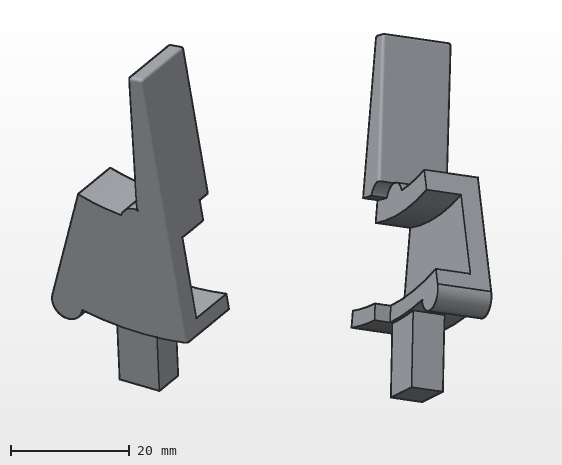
import cadquery as cq
import math

FULL_DEPTH = 13.0
BODY_DEPTH = 10.1
WEB_DEPTH = 3.6
PIN_BACK = 9.5
FOOT_FRONT = WEB_DEPTH

ARC_X, ARC_Z = 15.1, 74.3
TOP_RADIUS = 39.0
CEILING_RADIUS = 42.85
FLOOR_RADIUS = 58.2
BOTTOM_RADIUS = 61.1

ROUND_RADIUS = 3.05
BEAD_X, BEAD_Z = ROUND_RADIUS, 14.25
BOSS_X, BOSS_Z = 16.75, 34.35

BODY_LEFT_X, BODY_LEFT_Z = 5.2, 36.45
TIP_LEFT_X, TIP_LEFT_Z = 15.15, 63.0
TIP_RIGHT_X, TIP_RIGHT_Z = 18.1, 63.45
ROOT_X = 16.75
ROOT_Z = BOSS_Z + ROUND_RADIUS
HEEL_X = 27.1
HEEL_Z = ARC_Z - math.sqrt(BOTTOM_RADIUS**2 - (HEEL_X - ARC_X) ** 2)
EDGE_ROUND = 0.6

PIN_WIDTH = 8.0
PIN_LENGTH = 15.2
PIN_TILT = 2.6
PIN_CORNER_X = 11.2

BELOW = 6.35


def front_plane(y):
    """XZ sketch plane at depth y; negative extrusion runs toward +Y."""
    return cq.Workplane(cq.Plane(origin=(0, y, 0), xDir=(1, 0, 0), normal=(0, -1, 0)))


def prism(points, y_start, y_end):
    return front_plane(y_start).polyline(points).close().extrude(y_start - y_end)


def cylinder(x, z, radius, y_start, y_end):
    return front_plane(y_start).center(x, z).circle(radius).extrude(y_start - y_end)


def ring(inner, outer, y_start, y_end):
    """Ring between two of the concentric body arcs."""
    outer_disc = cylinder(ARC_X, ARC_Z, outer, y_start, y_end)
    return outer_disc.cut(cylinder(ARC_X, ARC_Z, inner, y_start, y_end))


def x_on_line(x1, z1, x2, z2, z):
    return x1 + (x2 - x1) * (z - z1) / (z2 - z1)


def make_body():
    dx, dz = BODY_LEFT_X - BEAD_X, BODY_LEFT_Z - BEAD_Z
    angle = math.atan2(dz, dx) + math.acos(ROUND_RADIUS / math.hypot(dx, dz))
    tangent = (BEAD_X + ROUND_RADIUS * math.cos(angle), BEAD_Z + ROUND_RADIUS * math.sin(angle))
    right_x = x_on_line(TIP_RIGHT_X, TIP_RIGHT_Z, HEEL_X, HEEL_Z, ROOT_Z)
    inset = 2 * EDGE_ROUND
    wedge = prism(
        [
            tangent,
            (BODY_LEFT_X, BODY_LEFT_Z),
            (BODY_LEFT_X, ROOT_Z),
            (right_x - inset, ROOT_Z),
            (HEEL_X - inset, HEEL_Z),
            (HEEL_X - inset, BELOW),
            (BEAD_X, BELOW),
            (BEAD_X, BEAD_Z),
        ],
        0,
        BODY_DEPTH,
    )
    body = wedge.intersect(ring(TOP_RADIUS, BOTTOM_RADIUS, 0, BODY_DEPTH))
    body = body.union(cylinder(BEAD_X, BEAD_Z, ROUND_RADIUS, 0, BODY_DEPTH))
    return body.union(cylinder(BOSS_X, BOSS_Z, ROUND_RADIUS, 0, BODY_DEPTH))


def blade_blank(y_start):
    """Tapered blade with sharp edges, running from y_start to the back face."""
    left_x = x_on_line(TIP_LEFT_X, TIP_LEFT_Z, ROOT_X, ROOT_Z, BELOW)
    right_x = x_on_line(TIP_RIGHT_X, TIP_RIGHT_Z, HEEL_X, HEEL_Z, BELOW)
    outline = [
        (TIP_LEFT_X, TIP_LEFT_Z),
        (TIP_RIGHT_X, TIP_RIGHT_Z),
        (right_x, BELOW),
        (left_x, BELOW),
    ]
    return prism(outline, y_start, FULL_DEPTH)


def make_blade():
    """Rounded blade; behind the body it stops at the top arc, clear of the boss."""
    blade = blade_blank(0).edges("not <Z").fillet(EDGE_ROUND)
    blade = blade.intersect(cylinder(ARC_X, ARC_Z, BOTTOM_RADIUS, 0, FULL_DEPTH))
    gap = ring(TOP_RADIUS, BOTTOM_RADIUS, BODY_DEPTH, FULL_DEPTH)
    gap = gap.union(cylinder(BOSS_X, BOSS_Z, ROUND_RADIUS, BODY_DEPTH, FULL_DEPTH))
    return blade.cut(gap)


def make_foot():
    """Sharp-edged foot below the pocket, in line with the blade and as deep."""
    return blade_blank(FOOT_FRONT).intersect(
        ring(FLOOR_RADIUS, BOTTOM_RADIUS, FOOT_FRONT, FULL_DEPTH)
    )


def make_pin():
    tilt = math.radians(PIN_TILT)
    across = (PIN_WIDTH * math.cos(tilt), PIN_WIDTH * math.sin(tilt))
    along = (-PIN_LENGTH * math.sin(tilt), PIN_LENGTH * math.cos(tilt))
    corners = [
        (PIN_CORNER_X, 0),
        (PIN_CORNER_X + across[0], across[1]),
        (PIN_CORNER_X + across[0] + along[0], across[1] + along[1]),
        (PIN_CORNER_X + along[0], along[1]),
    ]
    return prism(corners, WEB_DEPTH, PIN_BACK)


pocket = ring(CEILING_RADIUS, FLOOR_RADIUS, WEB_DEPTH, BODY_DEPTH)
result = make_body().union(make_blade()).union(make_foot()).cut(pocket).union(make_pin())